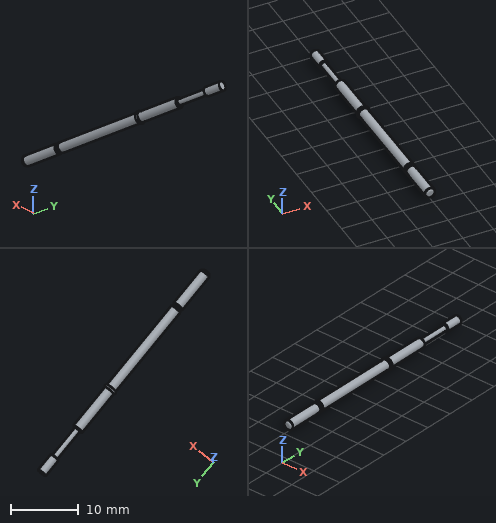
import cadquery as cq

total_length = 38.7

head_radius = 0.755
head_length = 2.98
plunger_radius = 0.5
barrel_radius = 0.85
mouth_from_tip = 8.32
mouth_chamfer = 0.1

collar_radius = 1.0
collar_from_tip = 15.83
collar_width = 0.45

crimp_shoulder = 0.058

groove_from_tip = 31.77
groove_width = 0.58
groove_depth = 0.25
groove_flank_bulge = 0.05

tail_round = 0.4

tip_y = total_length / 2
tail_y = -total_length / 2
mouth_y = tip_y - mouth_from_tip
collar_top_y = tip_y - collar_from_tip
groove_y = tip_y - groove_from_tip


def cylinder(radius, start_y, end_y):
    """Solid cylinder on the Y axis between two stations."""
    base = cq.Workplane("XZ", origin=(0, start_y, 0))
    return base.circle(radius).extrude(start_y - end_y)


def barrel():
    """Body with a chamfered mouth."""
    body = cylinder(barrel_radius, tail_y + tail_round, mouth_y)
    return body.faces(">Y").edges().chamfer(mouth_chamfer)


def tail():
    """Rounded plug that closes the barrel, set in by a small shoulder."""
    plug = cylinder(barrel_radius - crimp_shoulder, tail_y, groove_y - groove_width)
    return plug.faces("<Y").edges().fillet(tail_round)


def collar():
    """Stop ring with a convex rim that bulges out of the barrel."""
    profile = (
        cq.Workplane("XY")
        .moveTo(0, collar_top_y)
        .lineTo(barrel_radius, collar_top_y)
        .threePointArc(
            (collar_radius, collar_top_y - collar_width / 2),
            (barrel_radius, collar_top_y - collar_width),
        )
        .lineTo(0, collar_top_y - collar_width)
        .close()
    )
    return profile.revolve(360, (0, 0, 0), (0, 1, 0))


def groove():
    """V-shaped ring, with small shoulders and convex flanks, to cut from the barrel."""
    half_width = groove_width / 2
    flank_radius = barrel_radius - crimp_shoulder
    bottom_radius = barrel_radius - groove_depth
    profile = (
        cq.Workplane("XY")
        .moveTo(barrel_radius, groove_y - half_width)
        .lineTo(flank_radius, groove_y - half_width)
        .sagittaArc((bottom_radius, groove_y), -groove_flank_bulge)
        .sagittaArc((flank_radius, groove_y + half_width), -groove_flank_bulge)
        .lineTo(barrel_radius, groove_y + half_width)
        .close()
    )
    return profile.revolve(360, (0, 0, 0), (0, 1, 0))


plunger = cylinder(plunger_radius, mouth_y, tip_y)
head = cylinder(head_radius, tip_y - head_length, tip_y)

result = barrel().union(tail()).cut(groove()).union(collar()).union(plunger).union(head)